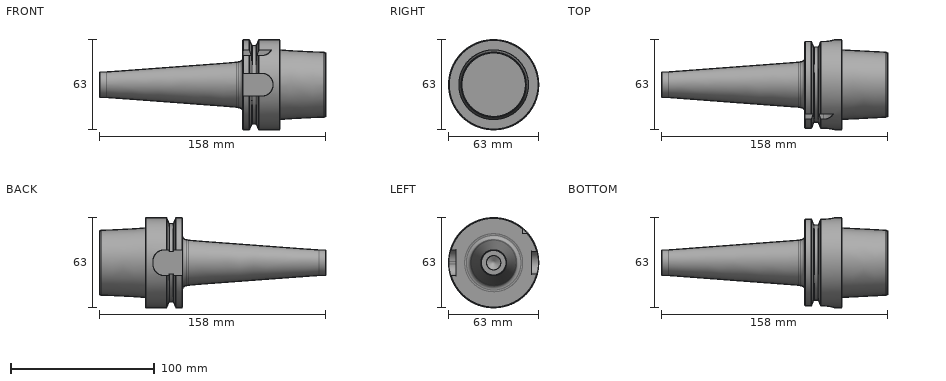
import cadquery as cq
import math


flange_length = 26.0
nose_length = 100.0
nose_radius = 18.0 / 2
nose_land_length = 4.8
nose_chamfer = 0.4
cone_root_radius = 31.6 / 2
cone_length = 95.8

blend_radius = 2.95
blend_start_radius = 16.1
relief_depth = 0.1
relief_outer_radius = 20.3

flange_radius = 63.0 / 2
flange_chamfer = 0.5
groove_centre_x = -18.1
groove_floor_radius = 55.0 / 2
groove_floor_width = 2.4
groove_floor_fillet = 0.5
groove_wall_angle = 23.0
groove_rim_chamfer = 0.4

shank_length = 32.0
shank_start_radius = 24.35
shank_end_radius = 22.75
shank_chamfer_length = 1.2
shank_chamfer_depth = 0.6

bore_radius = 10.0 / 2
bore_depth = 45.0
bore_tip_angle = 118.0

slot_floor_offset = 26.35
slot_end_radius = 8.0
front_slot_width = 16.0
front_slot_end_x = -4.8
back_slot_width = 18.0
back_slot_end_x = -5.3

notch_corner_offset = 20.3
notch_runout_start_x = -12.9
notch_runout_radius = 8.0

flange_front_x = -flange_length
nose_tip_x = flange_front_x - nose_length
cone_root_x = nose_tip_x + cone_length


def revolve_about_x(profile):
    """Full revolution of a profile in the XY plane about the X axis."""
    return profile.revolve(360, (0, 0, 0), (1, 0, 0))


def point_on_arc(centre_x, centre_y, arc_radius, angle):
    """Point on an arc, at an angle in degrees from the first sketch axis."""
    radians = math.radians(angle)
    return (
        centre_x + arc_radius * math.cos(radians),
        centre_y + arc_radius * math.sin(radians),
    )


def turned_body():
    """Outer profile of nose, blend, flange and shank, revolved about X."""
    relief_x = flange_front_x + relief_depth
    blend_start_x = relief_x - blend_radius
    blend_end_radius = blend_start_radius + blend_radius
    blend_mid = point_on_arc(blend_start_x, blend_end_radius, blend_radius, -45)
    rim_radius = flange_radius - flange_chamfer

    profile = (
        cq.Workplane("XY")
        .moveTo(nose_tip_x, 0)
        .lineTo(nose_tip_x, nose_radius - nose_chamfer)
        .lineTo(nose_tip_x + nose_chamfer, nose_radius)
        .lineTo(nose_tip_x + nose_land_length, nose_radius)
        .lineTo(cone_root_x, cone_root_radius)
        .lineTo(blend_start_x, blend_start_radius)
        .threePointArc(blend_mid, (relief_x, blend_end_radius))
        .lineTo(flange_front_x, relief_outer_radius)
        .lineTo(flange_front_x, rim_radius)
        .lineTo(flange_front_x + flange_chamfer, flange_radius)
        .lineTo(-flange_chamfer, flange_radius)
        .lineTo(0, rim_radius)
        .lineTo(0, shank_start_radius)
        .lineTo(shank_length - shank_chamfer_length, shank_end_radius)
        .lineTo(shank_length, shank_end_radius - shank_chamfer_depth)
        .lineTo(shank_length, 0)
        .close()
    )
    return revolve_about_x(profile)


def gripper_groove():
    """V-shaped ring around the flange with filleted floor corners and chamfered rims."""
    floor_half = groove_floor_width / 2
    fillet_centre_radius = groove_floor_radius + groove_floor_fillet
    wall_end_x, wall_end_radius = point_on_arc(
        floor_half, fillet_centre_radius, groove_floor_fillet, -groove_wall_angle
    )
    fillet_mid_angle = -(90 + groove_wall_angle) / 2
    fillet_mid_x, fillet_mid_radius = point_on_arc(
        floor_half, fillet_centre_radius, groove_floor_fillet, fillet_mid_angle
    )
    wall_top_radius = flange_radius - groove_rim_chamfer
    wall_slope = math.tan(math.radians(groove_wall_angle))
    wall_top_x = wall_end_x + (wall_top_radius - wall_end_radius) * wall_slope
    rim_x = wall_top_x + groove_rim_chamfer

    profile = (
        cq.Workplane("XY", origin=(groove_centre_x, 0, 0))
        .moveTo(-rim_x, flange_radius)
        .lineTo(-wall_top_x, wall_top_radius)
        .lineTo(-wall_end_x, wall_end_radius)
        .threePointArc((-fillet_mid_x, fillet_mid_radius), (-floor_half, groove_floor_radius))
        .lineTo(floor_half, groove_floor_radius)
        .threePointArc((fillet_mid_x, fillet_mid_radius), (wall_end_x, wall_end_radius))
        .lineTo(wall_top_x, wall_top_radius)
        .lineTo(rim_x, flange_radius)
        .close()
    )
    return revolve_about_x(profile)


def tool_bore():
    """Blind bore from the nose tip with a drill-point bottom."""
    bore_end_x = nose_tip_x + bore_depth
    tip_length = bore_radius / math.tan(math.radians(bore_tip_angle / 2))
    profile = (
        cq.Workplane("XY")
        .moveTo(nose_tip_x, 0)
        .lineTo(nose_tip_x, bore_radius)
        .lineTo(bore_end_x, bore_radius)
        .lineTo(bore_end_x + tip_length, 0)
        .close()
    )
    return revolve_about_x(profile)


def drive_slot(side, width, end_x):
    """Flat-floored slot on the +Y (side = 1) or -Y (side = -1) flank with a rounded end."""
    half_width = width / 2
    end_flat_half = half_width - slot_end_radius
    round_start_x = end_x - slot_end_radius
    mid_x, mid_z = point_on_arc(round_start_x, end_flat_half, slot_end_radius, 45)

    outline = (
        cq.Workplane("XZ", origin=(0, side * slot_floor_offset, 0))
        .moveTo(flange_front_x, -half_width)
        .lineTo(round_start_x, -half_width)
        .threePointArc((mid_x, -mid_z), (end_x, -end_flat_half))
    )
    if end_flat_half > 0:
        outline = outline.lineTo(end_x, end_flat_half)
    outline = (
        outline.threePointArc((mid_x, mid_z), (round_start_x, half_width))
        .lineTo(flange_front_x, half_width)
        .close()
    )
    return outline.extrude(-side * (flange_radius - slot_floor_offset))


def orientation_notch():
    """Corner notch on the -Y, +Z rim whose floor curves up and out at its +X end."""
    runout_end_x = notch_runout_start_x + notch_runout_radius
    arc_centre_z = notch_corner_offset + notch_runout_radius
    arc_mid = point_on_arc(notch_runout_start_x, arc_centre_z, notch_runout_radius, -45)
    return (
        cq.Workplane("XZ", origin=(0, -notch_corner_offset, 0))
        .moveTo(flange_front_x, notch_corner_offset)
        .lineTo(notch_runout_start_x, notch_corner_offset)
        .threePointArc(arc_mid, (runout_end_x, arc_centre_z))
        .lineTo(runout_end_x, flange_radius)
        .lineTo(flange_front_x, flange_radius)
        .close()
        .extrude(flange_radius - notch_corner_offset)
    )


result = (
    turned_body()
    .cut(gripper_groove())
    .cut(tool_bore())
    .cut(drive_slot(-1, front_slot_width, front_slot_end_x))
    .cut(drive_slot(1, back_slot_width, back_slot_end_x))
    .cut(orientation_notch())
)